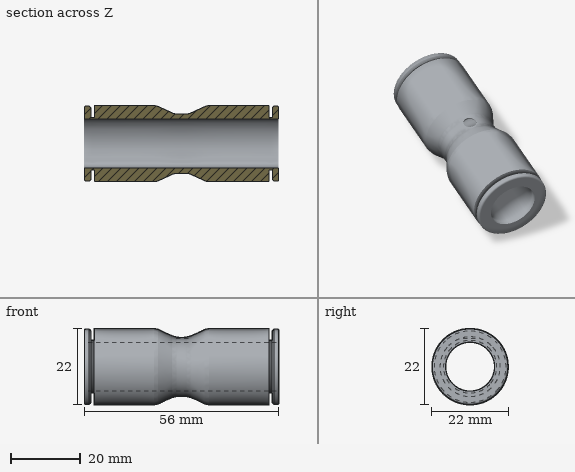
import cadquery as cq

length = 56.0
body_radius = 11.005
neck_radius = 8.6
bore_radius = 7.0

collar_radius = 10.85
collar_thickness = 1.95
collar_round = 0.5
collar_chamfer = 0.55
sleeve_radius = 7.6
body_end_offset = 2.85

taper_start_offset = 20.7
taper_end_offset = 25.9
taper_blend_radius = 2.8

recess_radius = 1.85
recess_depth = 0.5

blend_margin = 0.55

half_length = length / 2
body_end = half_length - body_end_offset
taper_start = half_length - taper_start_offset
taper_end = half_length - taper_end_offset


def make_body():
    """Waisted outer body with blended shoulders."""
    outline = [
        (-body_end, 0),
        (-body_end, body_radius),
        (-taper_start, body_radius),
        (-taper_end, neck_radius),
        (taper_end, neck_radius),
        (taper_start, body_radius),
        (body_end, body_radius),
        (body_end, 0),
    ]
    body = cq.Workplane("XY").polyline(outline).close().revolve(360, (0, 0, 0), (1, 0, 0))
    shoulder_reach = taper_start + blend_margin
    shoulder_edges = body.edges("%CIRCLE").edges(
        cq.selectors.BoxSelector(
            (-shoulder_reach, -length, -length), (shoulder_reach, length, length)
        )
    )
    return body.newObject(shoulder_edges.vals()).fillet(taper_blend_radius)


def make_collar(side):
    """Release collar and its sleeve; side is -1 for the -X end and 1 for the +X end."""
    outer_face = side * half_length
    inward = cq.Plane(origin=(outer_face, 0, 0), xDir=(0, 1, 0), normal=(-side, 0, 0))
    collar = cq.Workplane(inward).circle(collar_radius).extrude(collar_thickness)
    outer_rim, inner_rim = ("<X", ">X") if side < 0 else (">X", "<X")
    collar = collar.faces(outer_rim).edges().fillet(collar_round)
    collar = collar.faces(inner_rim).edges().chamfer(collar_chamfer)
    sleeve = cq.Workplane(inward).circle(sleeve_radius).extrude(body_end_offset)
    return collar.union(sleeve)


def make_recess():
    """Cutter for the round recess on the +Z side of the neck."""
    floor = neck_radius - recess_depth
    return cq.Workplane("XY", origin=(0, 0, floor)).circle(recess_radius).extrude(body_radius - floor)


result = make_body()
for end_side in (-1, 1):
    result = result.union(make_collar(end_side))

bore = cq.Workplane("YZ", origin=(-half_length, 0, 0)).circle(bore_radius).extrude(length)
result = result.cut(bore).cut(make_recess())